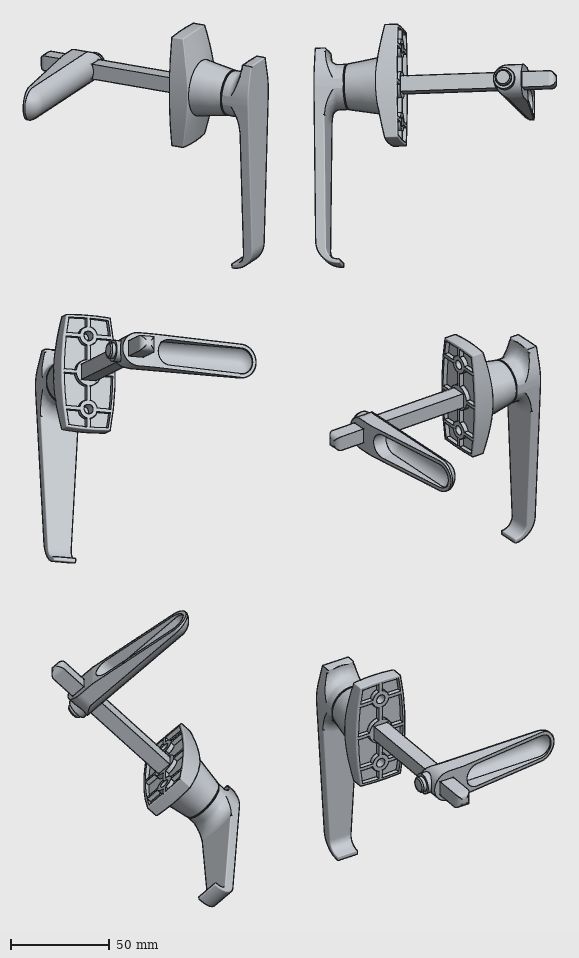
import cadquery as cq
import math


spindle_side = 8.0
spindle_reach = 79.9
spindle_tip_radius = 3.1

plate_half_height = 29.9
plate_corner_height = 29.4
plate_half_width = 15.0
plate_corner_width = 12.1
plate_thickness = 11.1
plate_front_slope = 0.25
plate_edge_radius = 0.6
collar_base_radius = 14.6
collar_end_radius = 11.7
collar_end = 28.2

wall = 1.6
pocket_depth = 2.5
rib_width = 1.9
screw_spacing = 38.1
screw_boss_radius = 4.8
screw_hole_radius = 2.5
screw_hole_depth = 6.2
spindle_boss_radius = 6.8

neck_radius = 11.6
neck_gap = 0.4
neck_end = 32.9
flare_height = 7.4
grip_back = 38.2
grip_front = 43.8
grip_top = 19.2
grip_top_half_width = 7.8
grip_shoulder = 9.1
grip_shoulder_half_width = 10.4
grip_waist = -1.4
grip_waist_half_width = 11.4
grip_bottom = -92.5
grip_bottom_half_width = 6.0
grip_edge_radius = 0.6
hook_outer_radius = 12.0
hook_inner_radius = 6.2
hook_lip = 2.5
hook_tip = 31.3

cam_back = -62.9
cam_edge = -54.5
cam_round_radius = 9.4
cam_half_width = 8.7
cam_end_center = -1.4
cam_tip_center = -60.7
cam_taper_start = -10.3
cam_tip_back = -55.5
cam_wall = 2.0
cam_pocket_start = -19.0

screw_center = -54.4
lug_radius = 5.5
lug_top = 9.1
screw_head_radius = 4.1
screw_head_side_top = 11.0
screw_head_top_radius = 3.5
screw_head_top = 11.7


def box(x_range, y_range, z_range):
    """Axis-aligned box from its limits along X, Y and Z."""
    limits = (x_range, y_range, z_range)
    sizes = [high - low for low, high in limits]
    corner = [low for low, high in limits]
    return cq.Workplane("XY").box(*sizes, centered=False).translate(tuple(corner))


def spindle_bar(start, end):
    """Length of the square spindle section between two X places."""
    half = spindle_side / 2
    return box((start, end), (-half, half), (-half, half))


def x_cylinder(radius, start, end, z=0):
    """Cylinder along X."""
    return cq.Workplane("YZ", origin=(start, 0, z)).circle(radius).extrude(end - start)


def revolve_about_x(profile):
    """Full turn about X of a closed XY profile that lies on the +Y side."""
    return profile.close().revolve(360, (0, 0, 0), (1, 0, 0))


def plate_outline():
    """Rectangle with four bowed sides, in the plane of the plate back."""
    return (
        cq.Workplane("YZ")
        .moveTo(plate_corner_width, -plate_corner_height)
        .threePointArc((plate_half_width, 0), (plate_corner_width, plate_corner_height))
        .threePointArc((0, plate_half_height), (-plate_corner_width, plate_corner_height))
        .threePointArc((-plate_half_width, 0), (-plate_corner_width, -plate_corner_height))
        .threePointArc((0, -plate_half_height), (plate_corner_width, -plate_corner_height))
        .close()
    )


def plate_block():
    """Plate blank with a conical front face, whose peak ends up inside the collar."""
    rim_radius = plate_half_height + plate_half_width
    peak = plate_thickness + plate_front_slope * collar_base_radius
    rim_thickness = plate_thickness - plate_front_slope * (rim_radius - collar_base_radius)
    cone = revolve_about_x(
        cq.Workplane("XY")
        .moveTo(0, 0)
        .lineTo(peak, 0)
        .lineTo(rim_thickness, rim_radius)
        .lineTo(0, rim_radius)
    )
    block = plate_outline().extrude(peak).intersect(cone)
    return block.edges("%BSPLINE or <X or |X").fillet(plate_edge_radius)


def collar():
    """Tapered collar, bevelled where it meets the neck of the handle."""
    return revolve_about_x(
        cq.Workplane("XY")
        .moveTo(plate_edge_radius + pocket_depth, 0)
        .lineTo(plate_edge_radius + pocket_depth, collar_base_radius - plate_edge_radius)
        .lineTo(plate_thickness, collar_base_radius)
        .lineTo(collar_end - neck_gap, collar_end_radius)
        .lineTo(collar_end, collar_end_radius - neck_gap)
        .lineTo(collar_end, 0)
    )


def plate_pockets():
    """Shallow pockets left between the rim, the ribs and the round bosses."""
    screw_places = (-screw_spacing / 2, screw_spacing / 2)
    pockets = plate_outline().offset2D(-wall).extrude(pocket_depth)
    half_rib = rib_width / 2
    depth = (0, pocket_depth)
    across = (-plate_half_width, plate_half_width)
    along = (-plate_half_height, plate_half_height)
    pockets = pockets.cut(box(depth, (-half_rib, half_rib), along))
    for z in (0, *screw_places):
        pockets = pockets.cut(box(depth, across, (z - half_rib, z + half_rib)))
    pockets = pockets.cut(x_cylinder(spindle_boss_radius, 0, pocket_depth))
    for z in screw_places:
        pockets = pockets.cut(x_cylinder(screw_boss_radius, 0, pocket_depth, z))
    return pockets


def make_plate():
    """Plate with its collar, back pockets, screw holes and square spindle passage."""
    body = plate_block().union(collar()).cut(plate_pockets())
    for z in (-screw_spacing / 2, screw_spacing / 2):
        body = body.cut(x_cylinder(screw_hole_radius, 0, screw_hole_depth, z))
    return body.cut(spindle_bar(0, collar_end))


def grip_outline(depth_start, depth_end):
    """Tapered outline of the handle in YZ, extruded along X."""
    return (
        cq.Workplane("YZ", origin=(depth_start, 0, 0))
        .moveTo(0, grip_bottom)
        .lineTo(grip_bottom_half_width, grip_bottom)
        .lineTo(grip_waist_half_width, grip_waist)
        .tangentArcPoint((grip_shoulder_half_width, grip_shoulder), relative=False)
        .lineTo(grip_top_half_width, grip_top)
        .lineTo(0, grip_top)
        .mirrorY()
        .extrude(depth_end - depth_start)
    )


def grip_side_profile():
    """Side shape of the handle in XZ, with the hook at the bottom, as a wide solid."""
    outer_start = grip_bottom + hook_outer_radius
    lip_top = grip_bottom + hook_lip
    inner_start = lip_top + hook_inner_radius
    diagonal = math.sqrt(0.5)
    outer_center = grip_front - hook_outer_radius
    inner_center = grip_back - hook_inner_radius
    return (
        cq.Workplane("XZ")
        .moveTo(grip_back, grip_top)
        .lineTo(grip_front, grip_top)
        .lineTo(grip_front, outer_start)
        .threePointArc(
            (outer_center + diagonal * hook_outer_radius, outer_start - diagonal * hook_outer_radius),
            (outer_center, grip_bottom),
        )
        .lineTo(hook_tip, grip_bottom)
        .lineTo(hook_tip, lip_top)
        .lineTo(inner_center, lip_top)
        .threePointArc(
            (inner_center + diagonal * hook_inner_radius, inner_start - diagonal * hook_inner_radius),
            (grip_back, inner_start),
        )
        .close()
        .extrude(neck_radius * 2, both=True)
    )


def grip():
    """Handle bar with all its outer edges rounded."""
    bar = grip_side_profile().intersect(grip_outline(hook_tip - 1.2, grip_front))
    return bar.edges("(not (|X or |Y)) or (|Y and (<X or >Z))").fillet(grip_edge_radius)


def neck():
    """Round neck that flares into the back of the handle, trimmed to the handle outline."""
    flare = grip_back - neck_end
    rim = neck_radius + flare_height
    round_neck = revolve_about_x(
        cq.Workplane("XY")
        .moveTo(collar_end, 0)
        .lineTo(collar_end, neck_radius - neck_gap)
        .lineTo(collar_end + neck_gap, neck_radius)
        .lineTo(neck_end, neck_radius)
        .ellipseArc(flare, flare_height, 270, 360, sense=1)
        .lineTo(grip_back + grip_edge_radius, rim)
        .lineTo(grip_back + grip_edge_radius, 0)
    )
    return round_neck.intersect(grip_outline(collar_end, grip_front))


def make_handle():
    """Grip, neck and square spindle with a rounded tip, as one piece."""
    spindle = spindle_bar(-spindle_reach, grip_back).faces("<X").edges().fillet(spindle_tip_radius)
    return grip().union(neck()).union(spindle)


def rounded_bar(half_width, round_radius, first_y, last_y):
    """Bar along Y with a flat back, straight sides and a round face, and its turned end."""
    round_center = cam_edge - math.sqrt(cam_round_radius**2 - cam_half_width**2)
    edge = round_center + math.sqrt(round_radius**2 - half_width**2)
    apex = round_center + round_radius
    angle = math.asin(half_width / round_radius) / 2
    middle = (
        round_center + round_radius * math.cos(angle),
        round_radius * math.sin(angle),
    )
    half_section = (
        cq.Workplane("XY")
        .moveTo(cam_back, 0)
        .lineTo(cam_back, half_width)
        .lineTo(edge, half_width)
        .threePointArc(middle, (apex, 0))
    )
    end = revolve_about_x(half_section)
    bar = (
        cq.Workplane("XZ", origin=(0, last_y, 0))
        .moveTo(cam_back, -half_width)
        .lineTo(cam_back, half_width)
        .lineTo(edge, half_width)
        .threePointArc((apex, 0), (edge, -half_width))
        .close()
        .extrude(last_y - first_y)
    )
    return bar, end


def cam_taper():
    """Wedge that slopes the back of the cam towards its tip."""
    tip_y = cam_tip_center - cam_half_width
    return (
        cq.Workplane("XY", origin=(0, 0, -cam_half_width))
        .moveTo(cam_back, cam_taper_start)
        .lineTo(cam_tip_back, tip_y)
        .lineTo(cam_back, tip_y)
        .close()
        .extrude(2 * cam_half_width)
    )


def cam_lever():
    """Rounded bar, cut square to a half-circle at the spindle and turned at the tip."""
    spindle_end = cam_end_center + cam_half_width
    bar, turned_end = rounded_bar(cam_half_width, cam_round_radius, cam_tip_center, spindle_end)
    outline = (
        cq.Workplane("YZ", origin=(cam_back, 0, 0))
        .moveTo(cam_tip_center, -cam_half_width)
        .lineTo(cam_end_center, -cam_half_width)
        .threePointArc((spindle_end, 0), (cam_end_center, cam_half_width))
        .lineTo(cam_tip_center, cam_half_width)
        .close()
        .extrude(2 * cam_half_width)
    )
    return bar.intersect(outline).union(turned_end.translate((0, cam_tip_center, 0))).cut(cam_taper())


def cam_pocket():
    """Hollow that follows the rounded bar at one wall thickness."""
    bar, turned_end = rounded_bar(
        cam_half_width - cam_wall, cam_round_radius - cam_wall, cam_tip_center, cam_pocket_start
    )
    for y in (cam_tip_center, cam_pocket_start):
        bar = bar.union(turned_end.translate((0, y, 0)))
    return bar


def clamping_screw():
    """Round lug with a bevelled screw head on the end of the cam."""
    return (
        cq.Workplane("XY")
        .moveTo(0, 0)
        .lineTo(lug_radius, 0)
        .lineTo(lug_radius, lug_top)
        .lineTo(screw_head_radius, lug_top)
        .lineTo(screw_head_radius, screw_head_side_top)
        .lineTo(screw_head_top_radius, screw_head_top)
        .lineTo(0, screw_head_top)
        .close()
        .revolve(360, (0, 0, 0), (0, 1, 0))
        .translate((screw_center, 0, 0))
    )


def make_cam():
    """Hollow cam lever with its clamping screw and a square hole for the spindle."""
    body = cam_lever().cut(cam_pocket()).union(clamping_screw())
    return body.cut(spindle_bar(-spindle_reach, 0))


plate = make_plate()
handle = make_handle()
cam = make_cam()

result = cq.Compound.makeCompound([*plate.solids().vals(), *handle.solids().vals(), *cam.solids().vals()])